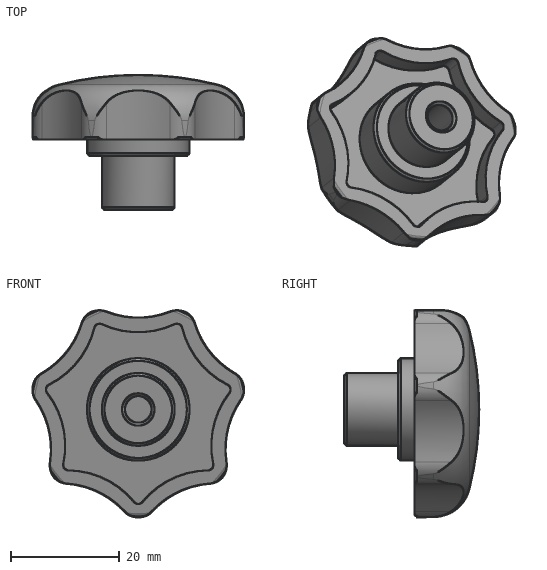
import cadquery as cq
import math

LOBES = 7
PITCH = 2 * math.pi / LOBES
FIRST_LOBE = -math.pi / 2

HEAD_RADIUS = 20.0
HEAD_HEIGHT = 12.0
DOME_RADIUS = 60.0
SHOULDER_RADIUS = 7.0
SIDE_DRAFT = math.radians(1.0)
RIM_STEP = 0.2
RIM_ROUND = 0.5

TIP_RADIUS = 3.5
GRIP_RADIUS = 16.0

TIP_WALL = 2.5
POCKET_DEPTH = 5.0

COLLAR_DIAMETER = 19.0
COLLAR_LENGTH = 3.0
SPIGOT_DIAMETER = 13.5
SPIGOT_LENGTH = 10.0
HUB_CHAMFER = 0.5
HUB_LENGTH = COLLAR_LENGTH + SPIGOT_LENGTH

BORE_DIAMETER = 4.92
BORE_MOUTH_DIAMETER = 6.0
BORE_DEPTH = HUB_LENGTH


def polar(radius, angle):
    """Cartesian pair of a point given by its radius and angle."""
    return (radius * math.cos(angle), radius * math.sin(angle))


def star(tip_center, tip_radius, grip_radius):
    """Closed star outline in XZ; local normal is -Y."""
    half_pitch = PITCH / 2
    centers_apart = tip_radius + grip_radius
    grip_center = tip_center * math.cos(half_pitch) + math.sqrt(
        centers_apart**2 - (tip_center * math.sin(half_pitch)) ** 2
    )
    share = tip_radius / centers_apart
    along = tip_center + share * (grip_center * math.cos(half_pitch) - tip_center)
    across = share * grip_center * math.sin(half_pitch)
    joint_radius = math.hypot(along, across)
    joint_angle = math.atan2(across, along)

    outline = cq.Workplane("XZ").moveTo(*polar(joint_radius, FIRST_LOBE - joint_angle))
    for index in range(LOBES):
        lobe = FIRST_LOBE + index * PITCH
        outline = outline.threePointArc(
            polar(tip_center + tip_radius, lobe),
            polar(joint_radius, lobe + joint_angle),
        )
        outline = outline.threePointArc(
            polar(grip_center - grip_radius, lobe + half_pitch),
            polar(joint_radius, lobe + PITCH - joint_angle),
        )
    return outline.close()


def turned_head():
    """Domed, slightly tapered disc with a stepped, rounded rim edge."""
    dome_center_y = HEAD_HEIGHT - DOME_RADIUS
    step_radius = HEAD_RADIUS - RIM_STEP

    slope = math.tan(SIDE_DRAFT)
    side_radius_at_rim = HEAD_RADIUS + RIM_ROUND * slope
    base_x = side_radius_at_rim - SHOULDER_RADIUS / math.cos(SIDE_DRAFT)

    center_distance = DOME_RADIUS - SHOULDER_RADIUS
    square_term = 1 + slope**2
    half_linear_term = dome_center_y + base_x * slope
    constant_term = dome_center_y**2 + base_x**2 - center_distance**2
    root = math.sqrt(half_linear_term**2 - square_term * constant_term)
    center_y = (half_linear_term + root) / square_term
    center_x = base_x - slope * center_y

    def on_shoulder(angle):
        x, y = polar(SHOULDER_RADIUS, angle)
        return (center_x + x, center_y + y)

    dome_angle = math.atan2(center_y - dome_center_y, center_x)
    return (
        cq.Workplane("XY")
        .lineTo(step_radius - RIM_ROUND, 0)
        .radiusArc((step_radius, RIM_ROUND), -RIM_ROUND)
        .lineTo(HEAD_RADIUS, RIM_ROUND)
        .lineTo(*on_shoulder(SIDE_DRAFT))
        .threePointArc(on_shoulder((SIDE_DRAFT + dome_angle) / 2), on_shoulder(dome_angle))
        .radiusArc((0, HEAD_HEIGHT), -DOME_RADIUS)
        .close()
        .revolve(360, (0, 0, 0), (0, 1, 0))
    )


def head():
    """Turned head trimmed to the lobed outline and hollowed from below."""
    tip_center = HEAD_RADIUS - TIP_RADIUS
    outline = star(tip_center, TIP_RADIUS, GRIP_RADIUS).extrude(-HEAD_HEIGHT)
    pocket = star(tip_center, TIP_RADIUS - TIP_WALL, GRIP_RADIUS).extrude(-POCKET_DEPTH)
    return turned_head().intersect(outline).cut(pocket)


def post(diameter, end_y):
    """Round post from the pocket floor to end_y, chamfered at its free end."""
    return (
        cq.Workplane("XZ", origin=(0, POCKET_DEPTH, 0))
        .circle(diameter / 2)
        .extrude(POCKET_DEPTH - end_y)
        .faces("<Y")
        .chamfer(HUB_CHAMFER)
    )


def bore():
    """Blind bore with a 45 degree countersunk mouth."""
    radius = BORE_DIAMETER / 2
    mouth_radius = BORE_MOUTH_DIAMETER / 2
    mouth_y = -HUB_LENGTH
    floor_y = mouth_y + BORE_DEPTH
    return (
        cq.Workplane("XY")
        .moveTo(0, mouth_y)
        .lineTo(mouth_radius, mouth_y)
        .lineTo(radius, mouth_y + mouth_radius - radius)
        .lineTo(radius, floor_y)
        .lineTo(0, floor_y)
        .close()
        .revolve(360, (0, 0, 0), (0, 1, 0))
    )


collar = post(COLLAR_DIAMETER, -COLLAR_LENGTH)
spigot = post(SPIGOT_DIAMETER, -HUB_LENGTH)
result = head().union(collar).union(spigot).cut(bore())